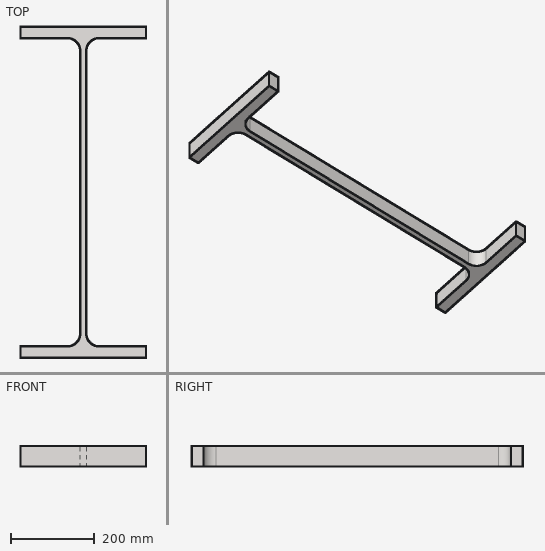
import cadquery as cq

flange_width = 300.0
section_depth = 790.0
flange_thickness = 28.0
web_thickness = 15.0
root_radius = 30.0
beam_length = 50.0

web_height = section_depth - 2 * flange_thickness
flange_offset = (section_depth - flange_thickness) / 2


def make_flange(side):
    """Flange plate at the +Y (side = 1) or -Y (side = -1) end of the web."""
    return (
        cq.Workplane("XY")
        .center(0, side * flange_offset)
        .rect(flange_width, flange_thickness)
        .extrude(beam_length)
    )


def make_beam():
    """Web joined to both flanges, with rounded roots where they meet."""
    beam = cq.Workplane("XY").rect(web_thickness, web_height).extrude(beam_length)
    for side in (-1, 1):
        beam = beam.union(make_flange(side))

    root_points = [
        (x_side * web_thickness / 2, y_side * web_height / 2, beam_length / 2)
        for x_side in (-1, 1)
        for y_side in (-1, 1)
    ]
    for point in root_points:
        beam = beam.edges("|Z").edges(cq.selectors.NearestToPointSelector(point)).fillet(root_radius)
    return beam


result = make_beam()